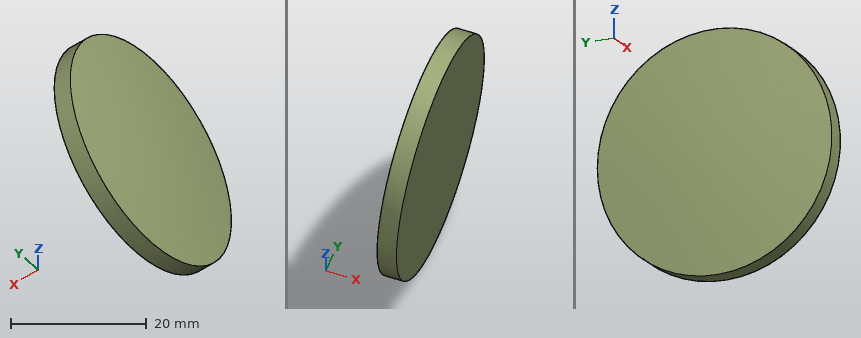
import cadquery as cq
import math

diameter = 38.05
center_thickness = 4.38
edge_thickness = 3.05

radius = diameter / 2
dome_height = center_thickness - edge_thickness

curvature_radius = (radius**2 + dome_height**2) / (2 * dome_height)

arc_mid_y = radius / 2
arc_mid_x = curvature_radius - math.sqrt(curvature_radius**2 - arc_mid_y**2)

half_section = (
    cq.Workplane("XY")
    .moveTo(0, 0)
    .threePointArc((arc_mid_x, arc_mid_y), (dome_height, radius))
    .lineTo(center_thickness, radius)
    .lineTo(center_thickness, 0)
    .close()
)

result = half_section.revolve(360, (0, 0, 0), (1, 0, 0))